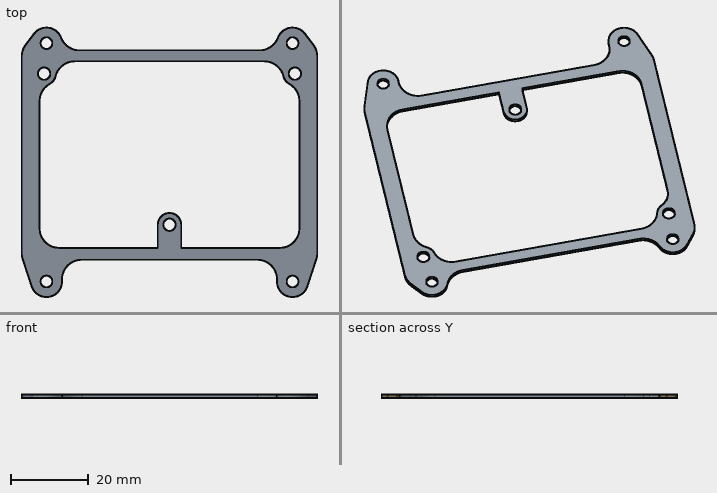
import cadquery as cq
import math

length = 75.95
width = 69.3
thickness = 1.0
half_length = length / 2
top_bar_outer_y = 28.8
top_bar_inner_y = 25.9
bottom_bar_outer_y = -25.1
bottom_bar_inner_y = -21.95
side_bar_width = 4.6
opening_x = -half_length + side_bar_width
blend_radius = 5.0

ear_radius = 4.0
ear_x = -31.6
ear_y = width / 2 - ear_radius
ear_hole_diameter = 3.0
upper_corner = (-half_length, 28.85)
lower_corner = (-half_length, -24.15)

boss_radius = 3.05
boss_center = (-32.2, 22.8)
tab_radius = 3.05
tab_hole_y = -16.0
inner_hole_diameter = 3.1

upper_ear = (ear_x, ear_y)
lower_ear = (ear_x, -ear_y)


def point_toward(start, target, distance):
    """Point at a given distance from start on the way to target."""
    step = distance / math.dist(start, target)
    return (start[0] + step * (target[0] - start[0]), start[1] + step * (target[1] - start[1]))


def point_at_angle(center, radius, angle):
    return (center[0] + radius * math.cos(angle), center[1] + radius * math.sin(angle))


def arc_to(sketch, center, radius, start, end):
    """Draw the shorter arc about center from start to end."""
    chord_middle = ((start[0] + end[0]) / 2, (start[1] + end[1]) / 2)
    return sketch.threePointArc(point_toward(center, chord_middle, radius), end)


def tangent_point(corner, center, radius, side):
    """Touching point on a circle of a line from corner; side is +1 or -1."""
    toward_corner = math.atan2(corner[1] - center[1], corner[0] - center[0])
    swing = math.acos(radius / math.dist(corner, center))
    return point_at_angle(center, radius, toward_corner + side * swing)


def corner_blend(corner, line_end, side):
    """Start, end and center of the blend from the left edge (side +1 up, -1 down) to a sloping line."""
    slope = math.atan2(side * (line_end[1] - corner[1]), line_end[0] - corner[0])
    turn = math.pi / 2 - slope
    setback = blend_radius * math.tan(turn / 2)
    start = (corner[0], corner[1] - side * setback)
    end = point_toward(corner, line_end, setback)
    return start, end, (corner[0] + blend_radius, start[1])


def blend_beside_circle(center, radius, blend_y):
    """Center of a blend at height blend_y that touches a circle on its right."""
    rise = blend_y - center[1]
    return (center[0] + math.sqrt((radius + blend_radius) ** 2 - rise ** 2), blend_y)


def left_plate():
    """Left half of the plate outline, traced from the bottom middle to the top middle."""
    low_blend = blend_beside_circle(lower_ear, ear_radius, bottom_bar_outer_y - blend_radius)
    low_blend_start = (low_blend[0], bottom_bar_outer_y)
    low_blend_end = point_toward(lower_ear, low_blend, ear_radius)
    low_ear_bottom = (ear_x, -width / 2)
    low_line_end = tangent_point(lower_corner, lower_ear, ear_radius, 1)
    low_edge, low_slope, low_corner_center = corner_blend(lower_corner, low_line_end, -1)

    high_line_end = tangent_point(upper_corner, upper_ear, ear_radius, -1)
    high_edge, high_slope, high_corner_center = corner_blend(upper_corner, high_line_end, 1)
    high_ear_top = (ear_x, width / 2)
    high_blend = blend_beside_circle(upper_ear, ear_radius, top_bar_outer_y + blend_radius)
    high_blend_start = point_toward(upper_ear, high_blend, ear_radius)
    high_blend_end = (high_blend[0], top_bar_outer_y)

    outline = cq.Workplane("XY").moveTo(0, bottom_bar_outer_y).lineTo(*low_blend_start)
    outline = arc_to(outline, low_blend, blend_radius, low_blend_start, low_blend_end)
    outline = arc_to(outline, lower_ear, ear_radius, low_blend_end, low_ear_bottom)
    outline = arc_to(outline, lower_ear, ear_radius, low_ear_bottom, low_line_end)
    outline = outline.lineTo(*low_slope)
    outline = arc_to(outline, low_corner_center, blend_radius, low_slope, low_edge)
    outline = outline.lineTo(*high_edge)
    outline = arc_to(outline, high_corner_center, blend_radius, high_edge, high_slope)
    outline = outline.lineTo(*high_line_end)
    outline = arc_to(outline, upper_ear, ear_radius, high_line_end, high_ear_top)
    outline = arc_to(outline, upper_ear, ear_radius, high_ear_top, high_blend_start)
    outline = arc_to(outline, high_blend, blend_radius, high_blend_start, high_blend_end)
    return outline.lineTo(0, top_bar_outer_y).close().extrude(thickness)


def left_opening():
    """Left half of the opening, which bends around the boss in its upper corner."""
    corner_center = (opening_x + blend_radius, bottom_bar_inner_y + blend_radius)
    corner_start = (corner_center[0], bottom_bar_inner_y)
    corner_end = (opening_x, corner_center[1])

    side_x = opening_x + blend_radius
    drop = math.sqrt((boss_radius + blend_radius) ** 2 - (side_x - boss_center[0]) ** 2)
    side_blend = (side_x, boss_center[1] - drop)
    side_start = (opening_x, side_blend[1])
    side_end = point_toward(boss_center, side_blend, boss_radius)

    top_blend = blend_beside_circle(boss_center, boss_radius, top_bar_inner_y - blend_radius)
    top_start = point_toward(boss_center, top_blend, boss_radius)
    top_end = (top_blend[0], top_bar_inner_y)

    outline = cq.Workplane("XY").moveTo(0, bottom_bar_inner_y).lineTo(*corner_start)
    outline = arc_to(outline, corner_center, blend_radius, corner_start, corner_end)
    outline = outline.lineTo(*side_start)
    outline = arc_to(outline, side_blend, blend_radius, side_start, side_end)
    outline = arc_to(outline, boss_center, boss_radius, side_end, top_start)
    outline = arc_to(outline, top_blend, blend_radius, top_start, top_end)
    return outline.lineTo(0, top_bar_inner_y).close().extrude(thickness)


def tab():
    """Round-ended tab rising from the bottom bar into the opening."""
    return (
        cq.Workplane("XY")
        .moveTo(-tab_radius, bottom_bar_outer_y)
        .lineTo(-tab_radius, tab_hole_y)
        .threePointArc((0, tab_hole_y + tab_radius), (tab_radius, tab_hole_y))
        .lineTo(tab_radius, bottom_bar_outer_y)
        .close()
        .extrude(thickness)
    )


def holes(centers, diameter):
    return cq.Workplane("XY").pushPoints(centers).circle(diameter / 2).extrude(thickness)


left_half = left_plate().cut(left_opening())
left_half = left_half.cut(holes([upper_ear, lower_ear], ear_hole_diameter))
left_half = left_half.cut(holes([boss_center], inner_hole_diameter))
frame = left_half.union(left_half.mirror("YZ")).union(tab())
frame = frame.cut(holes([(0, tab_hole_y)], inner_hole_diameter)).clean()
result = frame.translate((0, 0, -thickness / 2))